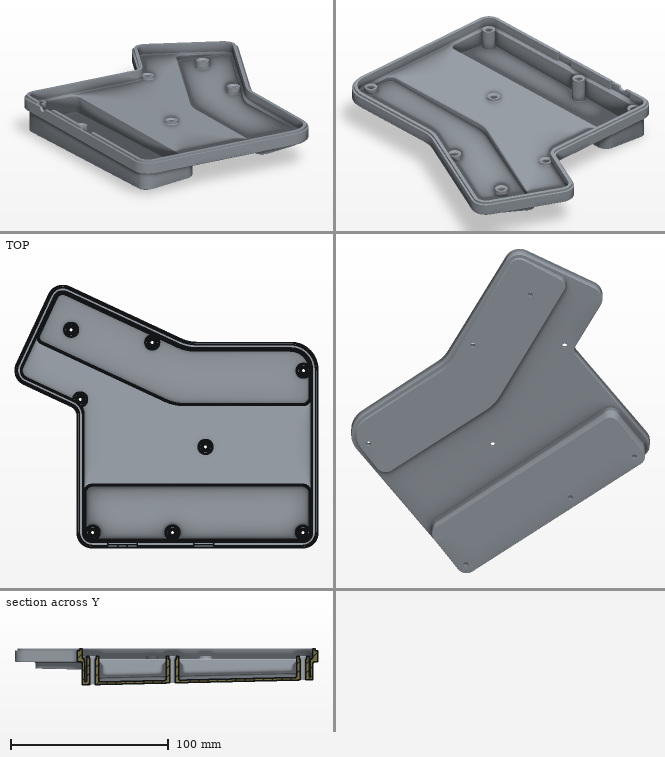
import cadquery as cq
import math

body_width = 152.7
body_length = 130.3
shoulder = 7.3
lip_height = 1.45
tray_height = shoulder + lip_height
arm_angle = 25.0
arm_bend_x = 70.5
arm_length = 93.0
arm_width = 68.0
corner_radius = 9.6
back_corner_radius = 17.3
bend_radius = 23.0
armpit_radius = 6.1
underside_chamfer = 0.4

wall = 3.5
lip_inset = 1.3
floor_thickness = 2.0
floor_chamfer = 0.8

foot_inset = 3.0
foot_wall = 2.0
front_foot_back = 41.5
back_foot_front = 89.0
desk_depth = 15.5
desk_tilt_y = 5.3
desk_tilt_x = 1.3
foot_bend_radius = 34.5
foot_arm_radius = 8.6
foot_chamfer = 0.2
root_flare = 0.5
pocket_chamfer = 0.4

bosses = [
    (9.8, 9.6, True),
    (60.5, 9.6, True),
    (143.3, 9.6, True),
    (81.5, 64.0, False),
    (2.0, 94.1, False),
    (143.7, 112.4, True),
    (47.6, 130.3, True),
    (-3.8, 138.3, True),
]
boss_diameter = 8.0
boss_top = 4.0
screw_hole_diameter = 3.0
insert_diameter = 4.2
insert_depth = 2.0
lead_in_diameter = 5.8

cable_recess = (28.8, 18.8)
switch_recess = (80.3, 12.7)
recess_wall = 1.7
cable_hole_radius = 3.0
cable_hole_rise = 0.8

beyond = 576.4

along_arm = (-math.cos(math.radians(arm_angle)), math.sin(math.radians(arm_angle)))
across_arm = (-along_arm[1], along_arm[0])


def arm_point(along, across):
    """Point measured from the bend, along the arm and across it toward the front."""
    return (
        arm_bend_x + along * along_arm[0] + across * across_arm[0],
        body_length + along * along_arm[1] + across * across_arm[1],
    )


def rounded_outline(corners, inset, z):
    """Closed outline at height z from (point, radius) corners, moved inward by inset."""
    stretches = []
    for i, (corner, radius) in enumerate(corners):
        here = cq.Vector(*corner)
        back = (cq.Vector(*corners[i - 1][0]) - here).normalized()
        ahead = (cq.Vector(*corners[(i + 1) % len(corners)][0]) - here).normalized()
        half_angle = back.getAngle(ahead) / 2
        tangent = radius / math.tan(half_angle)
        to_arc = radius / math.sin(half_angle) - radius
        middle = here + (back + ahead).normalized() * to_arc
        stretches.append((here + back * tangent, middle, here + ahead * tangent))
    outline = cq.Workplane("XY").moveTo(*stretches[0][2].toTuple()[:2])
    for start, middle, end in stretches[1:] + stretches[:1]:
        outline = outline.lineTo(start.x, start.y)
        outline = outline.threePointArc((middle.x, middle.y), (end.x, end.y))
    wire = outline.close().wire().val()
    if inset:
        wire = wire.offset2D(-inset)[0]
    placed = wire.translate(cq.Vector(0, 0, z))
    return cq.Workplane("XY", origin=(0, 0, z)).newObject([placed]).toPending()


armpit_start = arm_point(0, arm_width)
armpit_y = armpit_start[1] + armpit_start[0] * math.tan(math.radians(arm_angle))
upper_corners = [
    ((body_width, body_length), back_corner_radius),
    ((arm_bend_x, body_length), bend_radius),
    (arm_point(arm_length, 0), corner_radius),
]
tray_corners = [
    ((0, 0), corner_radius),
    ((body_width, 0), corner_radius),
    *upper_corners,
    (arm_point(arm_length, arm_width), corner_radius),
    ((0, armpit_y), armpit_radius),
]

front_foot_edge = front_foot_back + foot_inset
front_foot_corners = [
    ((0, 0), corner_radius),
    ((body_width, 0), corner_radius),
    ((body_width, front_foot_edge), corner_radius),
    ((0, front_foot_edge), corner_radius),
]
back_foot_edge = back_foot_front - foot_inset
back_foot_span = body_length - back_foot_edge
inner_bend_x = arm_bend_x - back_foot_span * math.tan(math.radians(arm_angle / 2))
back_foot_corners = [
    *upper_corners,
    (arm_point(arm_length, back_foot_span), foot_arm_radius),
    ((inner_bend_x, back_foot_edge), foot_bend_radius),
    ((body_width, back_foot_edge), corner_radius),
]
feet = [front_foot_corners, back_foot_corners]

desk_normal = cq.Vector(
    -math.tan(math.radians(desk_tilt_x)),
    -math.tan(math.radians(desk_tilt_y)),
    1,
)
desk_side = cq.selectors.DirectionMinMaxSelector(desk_normal, False)


def desk_height(x, y):
    """Height of the desk plane at a point in plan."""
    return -desk_depth - (desk_normal.x * x + desk_normal.y * y) / desk_normal.z


def above_desk(raised):
    """Half space above the desk plane, raised vertically."""
    plane = cq.Plane(origin=(0, 0, raised - desk_depth), normal=desk_normal)
    return cq.Workplane(plane).rect(beyond, beyond).extrude(beyond)


def make_tray():
    tray = rounded_outline(tray_corners, 0, 0).extrude(shoulder)
    tray = tray.faces("<Z").edges().chamfer(underside_chamfer)
    lip = rounded_outline(tray_corners, lip_inset, shoulder).extrude(lip_height)
    return tray.union(lip)


def make_foot(corners):
    """Solid foot with a flared root, reaching into the tray floor so the two join."""
    foot = rounded_outline(corners, foot_inset, 0).extrude(-beyond / 2)
    foot = foot.intersect(above_desk(0))
    foot = foot.faces(desk_side).edges().chamfer(foot_chamfer)
    flare = rounded_outline(corners, foot_inset - root_flare, 0).extrude(-root_flare, taper=45)
    overlap = rounded_outline(corners, foot_inset, 0).extrude(floor_thickness / 2)
    return foot.union(flare).union(overlap)


def make_cavity():
    cavity = rounded_outline(tray_corners, wall, floor_thickness).extrude(tray_height)
    return cavity.faces("<Z").edges().chamfer(floor_chamfer)


def make_pocket(corners):
    inset = foot_inset + foot_wall
    pocket = rounded_outline(corners, inset, floor_thickness).extrude(-beyond / 2)
    pocket = pocket.intersect(above_desk(foot_wall))
    pocket = pocket.faces(desk_side).edges().chamfer(pocket_chamfer)
    mouth = rounded_outline(corners, inset - root_flare, floor_thickness).extrude(-root_flare, taper=45)
    return pocket.union(mouth)


def make_recess(center_x, width):
    """Thinning of the front wall from inside, with the lip removed above it."""
    depth = wall - recess_wall
    recess = cq.Workplane("XY").box(width, 2 * depth, tray_height, centered=(True, True, False))
    recess = recess.translate((center_x, wall, floor_thickness + floor_chamfer))
    lip_gap = cq.Workplane("XY").box(width, wall, tray_height, centered=(True, False, False))
    return recess.union(lip_gap.translate((center_x, 0, shoulder)))


def make_cable_hole():
    """Round hole through the front wall, open at the top into the lip gap."""
    center = (cable_recess[0], 0, shoulder + cable_hole_rise)
    return cq.Workplane("XZ", origin=center).circle(cable_hole_radius).extrude(-wall)


def make_boss(x, y, in_foot):
    """Post with a flared root, standing on a pocket floor or on the tray floor."""
    if in_foot:
        base = desk_height(x, y) + foot_wall
        up = desk_normal
    else:
        base = floor_thickness
        up = cq.Vector(0, 0, 1)
    sunk = base - floor_thickness / 2
    post = cq.Workplane("XY", origin=(x, y, sunk)).circle(boss_diameter / 2).extrude(boss_top - sunk)
    root = cq.Workplane(cq.Plane(origin=(x, y, base), normal=up))
    root = root.circle(boss_diameter / 2 + root_flare).extrude(root_flare, taper=45)
    return post.union(root)


def make_screw_hole(x, y):
    """Through hole widened for an insert, with a conical lead-in at the boss top."""
    profile = [
        (0, boss_top),
        (lead_in_diameter / 2, boss_top),
        (insert_diameter / 2, boss_top - (lead_in_diameter - insert_diameter) / 2),
        (insert_diameter / 2, boss_top - insert_depth),
        (screw_hole_diameter / 2, boss_top - insert_depth),
        (screw_hole_diameter / 2, -beyond),
        (0, -beyond),
    ]
    hole = cq.Workplane("XZ").polyline(profile).close().revolve(360, (0, 0, 0), (0, 1, 0))
    return hole.translate((x, y, 0))


result = make_tray()
for corners in feet:
    result = result.union(make_foot(corners))
result = result.cut(make_cavity())
for corners in feet:
    result = result.cut(make_pocket(corners))
for recess in (cable_recess, switch_recess):
    result = result.cut(make_recess(*recess))
result = result.cut(make_cable_hole())
for x, y, in_foot in bosses:
    result = result.union(make_boss(x, y, in_foot))
for x, y, in_foot in bosses:
    result = result.cut(make_screw_hole(x, y))